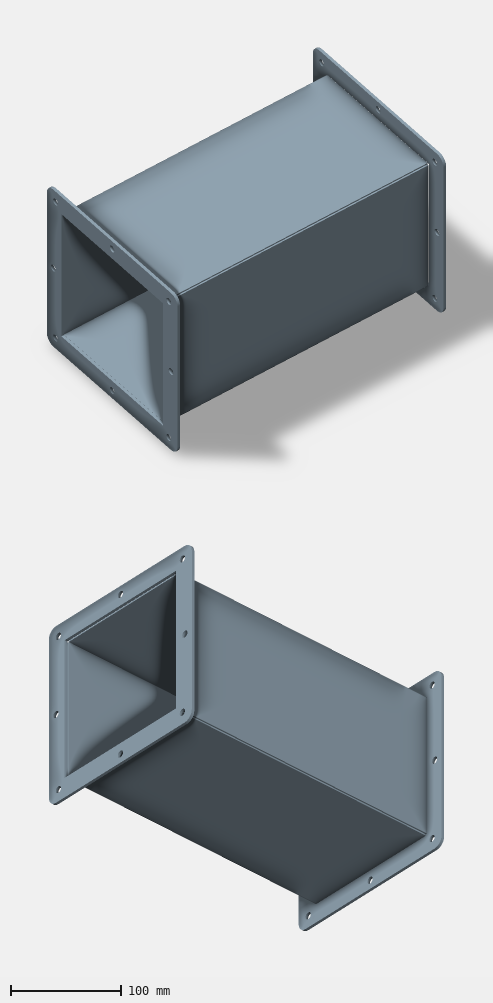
import cadquery as cq

duct_length = 308.0
flange_side = 193.7

flange_thickness = 3.0
flange_corner_radius = 9.5
flange_opening = 151.0
hole_diameter = 7.0
corner_hole_offset = 84.0
middle_hole_offset = 87.5

sheet_thickness = 1.5
inner_bend_radius = 1.2
tube_side = 152.0
tube_center_x = -1.08
tube_center_z = -0.68

outer_bend_radius = inner_bend_radius + sheet_thickness
sheet_length = duct_length - 2 * flange_thickness


def make_flange(start_y):
    """Square rounded plate with a square opening, occupying start_y to start_y + thickness."""
    plate = (
        cq.Workplane("XY")
        .box(flange_side, flange_thickness, flange_side)
        .edges("|Y")
        .fillet(flange_corner_radius)
    )
    opening = cq.Workplane("XY").box(flange_opening, flange_thickness, flange_opening)
    corner_holes = [
        (x_sign * corner_hole_offset, z_sign * corner_hole_offset)
        for x_sign in (-1, 1)
        for z_sign in (-1, 1)
    ]
    middle_holes = [
        (-middle_hole_offset, 0),
        (middle_hole_offset, 0),
        (0, -middle_hole_offset),
        (0, middle_hole_offset),
    ]
    holes = (
        cq.Workplane("XZ")
        .pushPoints(corner_holes + middle_holes)
        .circle(hole_diameter / 2)
        .extrude(flange_thickness / 2, both=True)
    )
    center_y = start_y + flange_thickness / 2
    return plate.cut(opening).cut(holes).translate((0, center_y, 0))


def make_folded_sheet(turn):
    """L-shaped sheet bent at its upper left corner, then turned about the tube axis."""
    half = tube_side / 2
    leg_end = half - sheet_thickness
    sheet = (
        cq.Workplane("XZ")
        .moveTo(-half, -leg_end)
        .lineTo(-half, half)
        .lineTo(leg_end, half)
        .lineTo(leg_end, leg_end)
        .lineTo(-leg_end, leg_end)
        .lineTo(-leg_end, -leg_end)
        .close()
        .extrude(sheet_length / 2, both=True)
    )
    outer_bend = cq.selectors.NearestToPointSelector((-half, 0, half))
    inner_bend = cq.selectors.NearestToPointSelector((-leg_end, 0, leg_end))
    sheet = sheet.edges("|Y").edges(outer_bend).fillet(outer_bend_radius)
    sheet = sheet.edges("|Y").edges(inner_bend).fillet(inner_bend_radius)
    turned = sheet.rotate((0, 0, 0), (0, 1, 0), turn)
    return turned.translate((tube_center_x, 0, tube_center_z))


flange_starts = (-duct_length / 2, duct_length / 2 - flange_thickness)
flanges = [make_flange(start_y) for start_y in flange_starts]

folded_sheets = [make_folded_sheet(turn) for turn in (0, 180)]

result = cq.Compound.makeCompound([body.val() for body in flanges + folded_sheets])